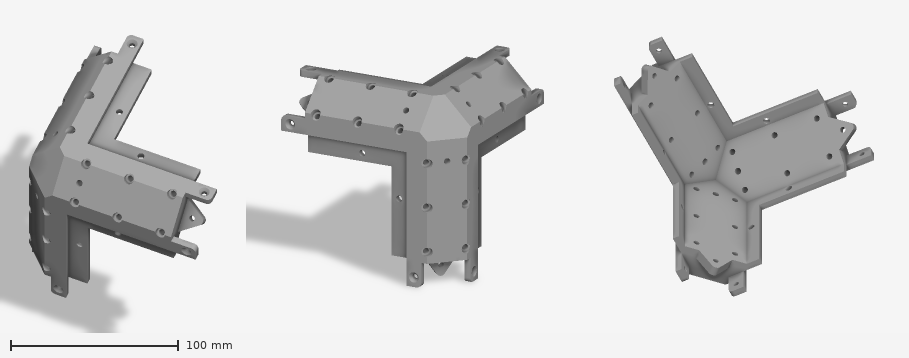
import cadquery as cq
import math


overall_length = 116.0
arm_length = 100.0

edge_chamfer = 17.7
flange_width = 31.7
ledge_width = 43.8
sheet_thickness = 4.1
core_sum = ledge_width
corner_sum = 40.5

tab_width = 9.9
tab_corner_radius = 3.0
tab_hole_from_end = 6.0
tab_hole_diameter = 3.4
tab_sink_diameter = 6.5
sink_angle = 90

lug_sum = 2 * edge_chamfer
lug_half_width = 10.5
lug_reach = 113.0
lug_tip_radius = 2.9
lug_hole_place = 105.9
lug_hole_diameter = 3.5

screw_places = [37.0, 65.0, 92.9]
screw_hole_diameter = 3.7
screw_bore_diameter = 6.1
screw_bore_depth = 3.4
screw_edge_inset = 0.3

chamfer_hole_place = 36.5
chamfer_hole_diameter = 4.0
ledge_hole_place = 63.6
ledge_hole_height = 38.7
ledge_hole_diameter = 4.1

chamfer_distance = edge_chamfer / math.sqrt(2)
lug_distance = lug_sum / math.sqrt(2)
core_distance = core_sum / math.sqrt(2)


def diagonal_plane(distance):
    """Plane parallel to the chamfer: local x runs along the arm, local z points inward."""
    offset = distance / math.sqrt(2)
    return cq.Plane(origin=(0, offset, offset), xDir=(1, 0, 0), normal=(0, 1, 1))


def swap_sides(shape):
    """Mirror image across the arm's diagonal plane y = z."""
    return shape.mirror("XZ").rotate((0, 0, 0), (1, 0, 0), -90)


def on_both_sides(shape):
    return shape.union(swap_sides(shape))


def turned(shape, step):
    """Move a shape from the X arm to another arm by turning about the space diagonal."""
    return shape.rotate((0, 0, 0), (1, 1, 1), 120 * step)


def on_all_arms(shape):
    return shape.union(turned(shape, 1)).union(turned(shape, 2))


def arm_bar():
    ledge_back = 2 * sheet_thickness
    half_section = [
        (0, edge_chamfer),
        (0, flange_width),
        (sheet_thickness, flange_width),
        (sheet_thickness, ledge_width),
        (ledge_back, ledge_width),
        (ledge_back, core_sum - ledge_back),
    ]
    other_half = [(z, y) for y, z in reversed(half_section)]
    return cq.Workplane("YZ").polyline(half_section + other_half).close().extrude(arm_length)


def tab():
    """Tab on the y = 0 side, carrying the flange on past the arm end."""
    length = overall_length - arm_length
    blank = (
        cq.Workplane("XY")
        .box(length, sheet_thickness, tab_width, centered=False)
        .edges("|Y and >X and <Z")
        .fillet(tab_corner_radius)
        .translate((arm_length, 0, flange_width - tab_width))
    )
    hole_center = (overall_length - tab_hole_from_end, 0, flange_width - tab_width / 2)
    face = cq.Workplane("XZ", origin=hole_center)
    return blank.copyWorkplane(face).cskHole(tab_hole_diameter, tab_sink_diameter, sink_angle)


def lug():
    tip_center = lug_reach - lug_tip_radius
    run = tip_center - arm_length
    tip_angle = math.atan2(lug_half_width, run)
    flank_angle = tip_angle - math.asin(lug_tip_radius / math.hypot(run, lug_half_width))
    touch_x = tip_center + lug_tip_radius * math.sin(flank_angle)
    touch_y = lug_tip_radius * math.cos(flank_angle)
    return (
        cq.Workplane(diagonal_plane(lug_distance))
        .moveTo(arm_length, -lug_half_width)
        .lineTo(touch_x, -touch_y)
        .threePointArc((lug_reach, 0), (touch_x, touch_y))
        .lineTo(arm_length, lug_half_width)
        .close()
        .extrude(core_distance - lug_distance)
    )


def round_cut(plane, points, diameter, depth):
    return cq.Workplane(plane).pushPoints(points).circle(diameter / 2).extrude(depth)


def diagonal_holes():
    """Screw holes, the plain chamfer hole and the lug hole, all square to the chamfer."""
    chamfer = diagonal_plane(chamfer_distance)
    through = core_distance - chamfer_distance
    side_offset = chamfer_distance - screw_edge_inset
    screws = [(x, side * side_offset) for x in screw_places for side in (-1, 1)]
    cuts = round_cut(chamfer, screws, screw_hole_diameter, through)
    cuts = cuts.union(round_cut(chamfer, screws, screw_bore_diameter, screw_bore_depth))
    cuts = cuts.union(round_cut(chamfer, [(chamfer_hole_place, 0)], chamfer_hole_diameter, through))
    return cuts.union(round_cut(chamfer, [(lug_hole_place, 0)], lug_hole_diameter, through))


def ledge_hole():
    """Hole through the ledge on the y = 0 side."""
    return round_cut("ZX", [(ledge_hole_height, ledge_hole_place)], ledge_hole_diameter, 2 * sheet_thickness)


def corner_cut():
    """Pyramid between the origin and the corner flat."""
    apex = (0, 0, 0)
    on_x = (corner_sum, 0, 0)
    on_y = (0, corner_sum, 0)
    on_z = (0, 0, corner_sum)
    triangles = [(apex, on_x, on_y), (apex, on_y, on_z), (apex, on_z, on_x), (on_x, on_y, on_z)]
    faces = [cq.Face.makeFromWires(cq.Wire.makePolygon(triangle, close=True)) for triangle in triangles]
    return cq.Workplane(cq.Solid.makeSolid(cq.Shell.makeShell(faces)))


def edge_cut():
    """Prism between the x axis and the edge chamfer."""
    corners = [(0, 0), (edge_chamfer, 0), (0, edge_chamfer)]
    return cq.Workplane("YZ").polyline(corners).close().extrude(arm_length)


arms = on_all_arms(arm_bar())
arms = arms.cut(on_all_arms(edge_cut())).cut(corner_cut())
end_parts = on_both_sides(tab()).union(lug())
holes = diagonal_holes().union(on_both_sides(ledge_hole()))
result = arms.union(on_all_arms(end_parts)).cut(on_all_arms(holes)).mirror("XY")